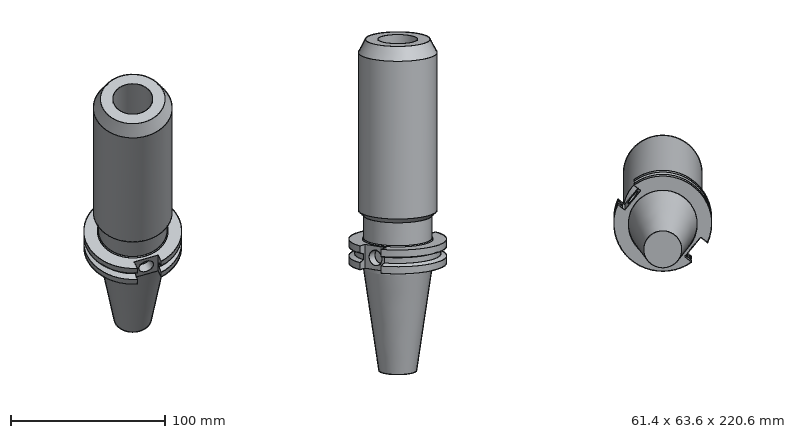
import cadquery as cq

TOTAL_HEIGHT = 220.6
TAPER_HEIGHT = 68.5
TAPER_TOP_RADIUS = 22.3
TAPER_RATIO = 7 / 24
TAPER_BOTTOM_RADIUS = TAPER_TOP_RADIUS - TAPER_HEIGHT * TAPER_RATIO / 2

FLANGE_BOTTOM = 71.7
FLANGE_HEIGHT = 15.9
FLANGE_TOP = FLANGE_BOTTOM + FLANGE_HEIGHT
FLANGE_RADIUS = 31.8
GROOVE_CENTER = FLANGE_BOTTOM + FLANGE_HEIGHT / 2
GROOVE_RADIUS = 28.0
GROOVE_FLOOR_WIDTH = 3.8
GROOVE_MOUTH_WIDTH = 6.5

FOOT_SIZE = 0.7
NECK_RADIUS = 22.3
NECK_TOP = 103.5

BODY_RADIUS = 25.5
BODY_BOTTOM_CHAMFER = BODY_RADIUS - NECK_RADIUS
TOP_FACE_RADIUS = 21.0
TOP_CHAMFER_HEIGHT = 8.8

BORE_DIAMETER = 25.8
BORE_DEPTH = 44.1

SLOT_WIDTH = 16.5
SLOT_FLOOR_X = 25.0
SLOT_HOLE_DIAMETER = 10.1
SLOT_HOLE_DEPTH = 6.6


def make_turned_body():
    """Revolve the half section (radius, height) about the Z axis."""
    section = [
        (0, 0),
        (TAPER_BOTTOM_RADIUS, 0),
        (TAPER_TOP_RADIUS, TAPER_HEIGHT),
        (TAPER_TOP_RADIUS, FLANGE_BOTTOM),
        (FLANGE_RADIUS, FLANGE_BOTTOM),
        (FLANGE_RADIUS, GROOVE_CENTER - GROOVE_MOUTH_WIDTH / 2),
        (GROOVE_RADIUS, GROOVE_CENTER - GROOVE_FLOOR_WIDTH / 2),
        (GROOVE_RADIUS, GROOVE_CENTER + GROOVE_FLOOR_WIDTH / 2),
        (FLANGE_RADIUS, GROOVE_CENTER + GROOVE_MOUTH_WIDTH / 2),
        (FLANGE_RADIUS, FLANGE_TOP),
        (NECK_RADIUS + FOOT_SIZE, FLANGE_TOP),
        (NECK_RADIUS, FLANGE_TOP + FOOT_SIZE),
        (NECK_RADIUS, NECK_TOP),
        (BODY_RADIUS, NECK_TOP + BODY_BOTTOM_CHAMFER),
        (BODY_RADIUS, TOTAL_HEIGHT - TOP_CHAMFER_HEIGHT),
        (TOP_FACE_RADIUS, TOTAL_HEIGHT),
        (0, TOTAL_HEIGHT),
    ]
    return cq.Workplane("XZ").polyline(section).close().revolve(360, (0, 0), (0, 1))


def make_bore():
    bore_floor = TOTAL_HEIGHT - BORE_DEPTH
    return cq.Workplane("XY", origin=(0, 0, bore_floor)).circle(BORE_DIAMETER / 2).extrude(BORE_DEPTH)


def make_slot_cutter(side):
    """Driving slot and its floor hole; side is +1 or -1 along X."""
    floor = cq.Plane(
        origin=(side * SLOT_FLOOR_X, 0, GROOVE_CENTER),
        xDir=(0, 1, 0),
        normal=(side, 0, 0),
    )
    slot = cq.Workplane(floor).rect(SLOT_WIDTH, FLANGE_HEIGHT).extrude(FLANGE_RADIUS - SLOT_FLOOR_X)
    hole = cq.Workplane(floor).circle(SLOT_HOLE_DIAMETER / 2).extrude(-SLOT_HOLE_DEPTH)
    return slot.union(hole)


result = make_turned_body().cut(make_bore())
for side in (-1, 1):
    result = result.cut(make_slot_cutter(side))